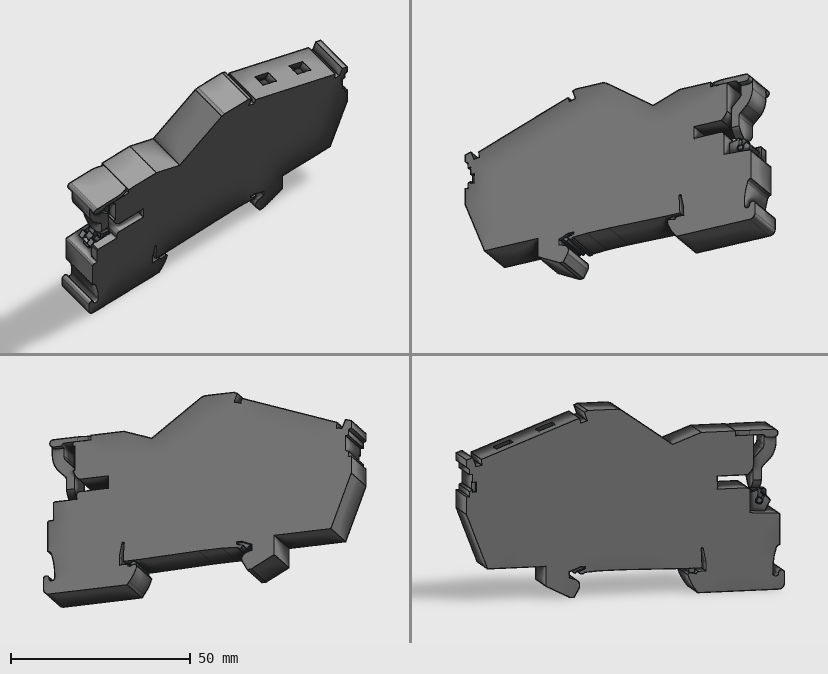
import cadquery as cq

WIDTH = 12.0
LENGTH = 91.14
HEIGHT = 52.83

REAR_BASE_Z = 9.34
RAIL_SEAT_Z = 7.42
RAIL_EDGE_Z = 7.0
DECK_Z = 45.22
SHELF_FRONT_Z = 21.5
SHELF_REAR_Z = 21.95
FINGER_SLOT_BOTTOM_Z = 29.02
FINGER_SLOT_TOP_Z = 32.67
VALLEY_Z = 42.2

HEAD_FRONT_Y = 8.83
HINGE_WALL_Y = 9.85
FINGER_SLOT_BACK_Y = 19.22
SHELF_FRONT_Y = 1.3
SHELF_EDGE_RADIUS = 0.5
VALLEY_Y = 32.08
PEAK_FRONT_Y = 47.5
PEAK_REAR_Y = 56.4
HOOK_BACK_Y = 68.32
HOOK_THROAT_Y = 61.7
HOOK_THROAT_TOP_Z = 7.5

SLOPE_FRONT = (58.83, 50.75)
SLOPE_REAR = (86.9, 40.36)
SLOPE_RISE = (SLOPE_FRONT[1] - SLOPE_REAR[1]) / (SLOPE_REAR[0] - SLOPE_FRONT[0])

OPENING_WIDTH = 3.74
OPENING_LENGTH = 4.68
OPENING_DEPTH = 2.5
OPENING_TAPER = 1.0
OPENING_REAR_YS = (69.4, 81.5)

REAR_NOTCH_FLOOR_Y = 89.42
SIDE_POCKET_LENGTH = 1.1
SIDE_POCKET_BOTTOM_Z = 31.2
SIDE_POCKET_TOP_Z = 34.0
SIDE_POCKET_DEPTH = 1.0

GUARD_WIDTH = 2.52
GUARD_FRONT_Y = 2.95
GUARD_TOP_Z = 26.9
GUARD_CHAMFER = 0.3

HEAD_RECESS_LEFT_X = 3.5
HEAD_RECESS_DEPTH = 0.5
HEAD_RECESS_BEVEL = 0.5
HEAD_RECESS_BOTTOM_Z = 35.2
HEAD_RECESS_TOP_Z = 42.65

LID_REAR_Y = 14.04
LID_BOTTOM_Z = 43.85
LID_NOSE_Z = 43.06
LID_NOSE_RADIUS = (DECK_Z - LID_NOSE_Z) / 2
LID_MID_Z = LID_NOSE_Z + LID_NOSE_RADIUS
LID_CORNER_SIDE = 1.26
LID_CORNER_LENGTH = 4.0
LEVER_FRONT_Y = 1.89
STEM_WIDTH = 8.0
STEM_FRONT_Y = 6.08
STEM_REAR_Y = 8.5
STEM_TAPER_Z = 30.77
STEM_END_Z = 28.1
TONGUE_WIDTH = 2.06
NECK_FRONT_Y = 5.3
NECK_FRONT_Z = 27.35

PIN_Y = 6.38
PIN_Z = 24.73
PIN_RADIUS = 0.75
PIN_HOLE_RADIUS = 1.05
HUB_RADIUS = 2.0
BRACKET_WIDTH = 5.26
BRACKET_TIP_Y = 3.2
BRACKET_FOOT_Y = 4.83
BRACKET_TOP_Z = 27.74
TOE_Y = 4.4
TOE_Z = 22.75
TOE_RADIUS = 0.77

ROD_Y = 26.36
ROD_Z = 6.2
ROD_RADIUS = 0.86
FOOT_PART_WIDTH = 10.0
CLIP_EXIT = (59.1, HOOK_THROAT_TOP_Z)


def box(x_min, x_max, y_min, y_max, z_min, z_max):
    size = (x_max - x_min, y_max - y_min, z_max - z_min)
    return cq.Workplane("XY").box(*size, centered=False).translate((x_min, y_min, z_min))


def plate(outline, width):
    """Extrude a closed Y-Z outline to the given width, centred on X = 0."""
    return outline.close().extrude(width).translate((-width / 2, 0, 0))


def cross_rod(y, z, radius, width):
    return cq.Workplane("YZ").center(y, z).circle(radius).extrude(width).translate((-width / 2, 0, 0))


def slope_z(y):
    """Height of the sloped connector face at a place along Y."""
    return SLOPE_REAR[1] + (SLOPE_REAR[0] - y) * SLOPE_RISE


def shelf_z(y):
    """Height of the hinge shelf, which falls gently from the hinge wall to its rounded front edge."""
    flat_front_y = SHELF_FRONT_Y + SHELF_EDGE_RADIUS
    return SHELF_FRONT_Z + (SHELF_REAR_Z - SHELF_FRONT_Z) * (y - flat_front_y) / (HINGE_WALL_Y - flat_front_y)


def housing_outline():
    outline = cq.Workplane("YZ").moveTo(LENGTH, 40.36)
    outline = (
        outline.lineTo(89.42, 40.94)
        .lineTo(88.36, 38.4)
        .lineTo(86.75, 38.7)
        .lineTo(*SLOPE_REAR)
        .lineTo(*SLOPE_FRONT)
        .lineTo(58.36, 49.37)
        .lineTo(56.52, 49.96)
        .lineTo(57.38, 52.39)
        .lineTo(PEAK_REAR_Y, HEIGHT)
    )
    outline = (
        outline.lineTo(PEAK_FRONT_Y + 0.4, HEIGHT)
        .lineTo(PEAK_FRONT_Y - 0.6, HEIGHT - 0.25)
        .lineTo(VALLEY_Y, VALLEY_Z)
        .lineTo(23.85, DECK_Z)
        .lineTo(LID_REAR_Y, DECK_Z)
        .lineTo(LID_REAR_Y, LID_BOTTOM_Z)
        .lineTo(HEAD_FRONT_Y, LID_BOTTOM_Z)
    )
    outline = (
        outline.lineTo(HEAD_FRONT_Y, 35.14)
        .threePointArc((9.55, 33.75), (10.63, FINGER_SLOT_TOP_Z))
        .lineTo(FINGER_SLOT_BACK_Y, FINGER_SLOT_TOP_Z)
        .lineTo(FINGER_SLOT_BACK_Y, FINGER_SLOT_BOTTOM_Z)
        .lineTo(10.75, FINGER_SLOT_BOTTOM_Z)
        .threePointArc((10.11, 28.76), (HINGE_WALL_Y, 28.12))
        .lineTo(HINGE_WALL_Y, SHELF_REAR_Z)
    )
    outline = (
        outline.lineTo(SHELF_FRONT_Y + SHELF_EDGE_RADIUS, SHELF_FRONT_Z)
        .radiusArc((SHELF_FRONT_Y, SHELF_FRONT_Z - SHELF_EDGE_RADIUS), -SHELF_EDGE_RADIUS)
        .lineTo(SHELF_FRONT_Y, 12.6)
        .threePointArc((2.0, 12.3), (2.4, 11.6))
        .threePointArc((3.05, 8.9), (3.34, 5.0))
        .lineTo(3.34, 4.6)
        .threePointArc((2.5, 3.8), (1.69, 4.5))
        .threePointArc((0.85, 5.45), (0, 4.7))
        .lineTo(0, 1.6)
        .threePointArc((0.5, 0.5), (1.69, 0))
    )
    outline = (
        outline.lineTo(24.83, 0)
        .lineTo(25.4, 0.83)
        .threePointArc((26.75, 2.9), (27.69, 5.22))
        .lineTo(27.26, 5.81)
        .lineTo(25.4, 5.4)
        .lineTo(24.7, 6.05)
        .lineTo(22.47, 6.05)
        .lineTo(22.47, 8.48)
        .lineTo(23.26, 12.3)
        .threePointArc((23.55, 12.62), (23.9, 12.3))
        .lineTo(23.65, RAIL_EDGE_Z)
    )
    outline = (
        outline.lineTo(28.36, RAIL_EDGE_Z)
        .lineTo(46.0, RAIL_SEAT_Z)
        .lineTo(52.87, RAIL_SEAT_Z)
        .lineTo(57.3, 7.15)
        .lineTo(57.7, 6.8)
        .lineTo(58.5, 6.8)
        .lineTo(*CLIP_EXIT)
        .lineTo(HOOK_THROAT_Y, HOOK_THROAT_TOP_Z)
        .lineTo(HOOK_THROAT_Y, 5.85)
        .lineTo(59.6, 5.1)
        .threePointArc((58.75, 3.9), (58.95, 2.6))
        .lineTo(60.3, 0.24)
        .lineTo(61.5, 0.24)
        .lineTo(HOOK_BACK_Y, 3.69)
        .lineTo(HOOK_BACK_Y, REAR_BASE_Z)
    )
    return (
        outline.lineTo(85.1, REAR_BASE_Z)
        .lineTo(LENGTH, 24.95)
        .lineTo(LENGTH, 29.93)
        .lineTo(90.3, 29.93)
        .lineTo(90.3, 31.42)
        .lineTo(REAR_NOTCH_FLOOR_Y, 31.85)
        .lineTo(REAR_NOTCH_FLOOR_Y, 36.2)
        .lineTo(90.3, 36.2)
        .lineTo(90.3, 37.69)
        .lineTo(LENGTH, 38.28)
    )


def test_opening(rear_y):
    """Rectangular opening whose rear wall slopes inwards and whose floor follows the slope."""
    front_y = rear_y - OPENING_LENGTH
    floor_rear_y = rear_y - OPENING_TAPER
    outline = (
        cq.Workplane("YZ")
        .moveTo(rear_y, slope_z(rear_y))
        .lineTo(floor_rear_y, slope_z(floor_rear_y) - OPENING_DEPTH)
        .lineTo(front_y, slope_z(front_y) - OPENING_DEPTH)
        .lineTo(front_y, slope_z(front_y))
    )
    return plate(outline, OPENING_WIDTH)


def head_recess():
    """Shallow recess in the head front, open to the right side, with a bevelled lower edge."""
    back_y = HEAD_FRONT_Y + HEAD_RECESS_DEPTH
    outline = (
        cq.Workplane("YZ", origin=(HEAD_RECESS_LEFT_X, 0, 0))
        .moveTo(HEAD_FRONT_Y, HEAD_RECESS_BOTTOM_Z)
        .lineTo(back_y, HEAD_RECESS_BOTTOM_Z + HEAD_RECESS_BEVEL)
        .lineTo(back_y, HEAD_RECESS_TOP_Z)
        .lineTo(HEAD_FRONT_Y, HEAD_RECESS_TOP_Z)
    )
    return outline.close().extrude(WIDTH / 2 - HEAD_RECESS_LEFT_X)


def make_housing(rod):
    body = plate(housing_outline(), WIDTH)
    guard = box(WIDTH / 2 - GUARD_WIDTH, WIDTH / 2, GUARD_FRONT_Y, HINGE_WALL_Y, SHELF_FRONT_Z, GUARD_TOP_Z)
    guard = guard.faces("<Y").edges(">Z").chamfer(GUARD_CHAMFER)
    body = body.union(guard)
    for rear_y in OPENING_REAR_YS:
        body = body.cut(test_opening(rear_y))
    side_pocket = box(
        -WIDTH / 2,
        -WIDTH / 2 + SIDE_POCKET_DEPTH,
        REAR_NOTCH_FLOOR_Y - SIDE_POCKET_LENGTH,
        REAR_NOTCH_FLOOR_Y,
        SIDE_POCKET_BOTTOM_Z,
        SIDE_POCKET_TOP_Z,
    )
    body = body.cut(head_recess())
    return body.cut(side_pocket).cut(rail_clip_shape(WIDTH)).cut(rod)


def lever_lid():
    outline = (
        cq.Workplane("YZ")
        .moveTo(LID_REAR_Y, DECK_Z)
        .lineTo(LEVER_FRONT_Y + LID_NOSE_RADIUS, DECK_Z)
        .radiusArc((LEVER_FRONT_Y, LID_MID_Z), -LID_NOSE_RADIUS)
        .radiusArc((LEVER_FRONT_Y + LID_NOSE_RADIUS, LID_NOSE_Z), -LID_NOSE_RADIUS)
        .lineTo(5.42, LID_NOSE_Z)
        .threePointArc((5.75, 43.6), (6.4, LID_BOTTOM_Z))
        .lineTo(LID_REAR_Y, LID_BOTTOM_Z)
    )
    lid = plate(outline, WIDTH)
    edge_x = WIDTH / 2
    corner = (
        cq.Workplane("XY", origin=(0, 0, LID_BOTTOM_Z))
        .moveTo(edge_x, LID_REAR_Y - LID_CORNER_LENGTH)
        .threePointArc(
            (edge_x - 0.2, LID_REAR_Y - 2.3),
            (edge_x - 0.6, LID_REAR_Y - 0.9),
        )
        .threePointArc((edge_x - 0.85, LID_REAR_Y - 0.3), (edge_x - LID_CORNER_SIDE, LID_REAR_Y))
        .lineTo(edge_x, LID_REAR_Y)
        .close()
        .extrude(DECK_Z - LID_BOTTOM_Z)
    )
    return lid.cut(corner).cut(corner.mirror("YZ"))


def lever_stem():
    outline = (
        cq.Workplane("YZ")
        .moveTo(LEVER_FRONT_Y, LID_MID_Z)
        .lineTo(LEVER_FRONT_Y, 41.5)
        .threePointArc((2.32, 38.95), (3.55, 36.8))
        .lineTo(5.4, 34.95)
        .threePointArc((5.9, 34.43), (STEM_FRONT_Y, 33.8))
        .lineTo(STEM_FRONT_Y, STEM_END_Z)
        .lineTo(STEM_REAR_Y, STEM_END_Z)
        .lineTo(STEM_REAR_Y, 36.8)
        .lineTo(5.9, 39.5)
        .threePointArc((5.5, 40.1), (5.42, 40.8))
        .lineTo(5.42, LID_MID_Z)
    )
    stem = plate(outline, STEM_WIDTH)
    edge_x = STEM_WIDTH / 2
    corner = (
        cq.Workplane("XZ", origin=(0, STEM_FRONT_Y, 0))
        .moveTo(edge_x, STEM_TAPER_Z)
        .threePointArc((edge_x - 1.25, STEM_TAPER_Z - 1.57), (TONGUE_WIDTH / 2, STEM_END_Z))
        .lineTo(edge_x, STEM_END_Z)
        .close()
        .extrude(STEM_FRONT_Y - STEM_REAR_Y)
    )
    return stem.cut(corner).cut(corner.mirror("YZ"))


def lever_tongue():
    """Narrow neck under the stem, ending in a round hub on the pin."""
    outline = (
        cq.Workplane("YZ")
        .moveTo(STEM_REAR_Y, STEM_END_Z)
        .lineTo(STEM_FRONT_Y, STEM_END_Z)
        .lineTo(NECK_FRONT_Y, NECK_FRONT_Z)
        .lineTo(PIN_Y, PIN_Z)
        .lineTo(STEM_REAR_Y, BRACKET_TOP_Z)
    )
    return plate(outline, TONGUE_WIDTH).union(cross_rod(PIN_Y, PIN_Z, HUB_RADIUS, TONGUE_WIDTH))


def make_lever(pin):
    return lever_lid().union(lever_stem()).union(lever_tongue()).cut(pin)


def make_bracket():
    outline = (
        cq.Workplane("YZ")
        .moveTo(HINGE_WALL_Y, SHELF_REAR_Z)
        .lineTo(HINGE_WALL_Y, 26.8)
        .threePointArc((8.4, 27.15), (6.9, BRACKET_TOP_Z))
        .lineTo(5.86, BRACKET_TOP_Z)
        .lineTo(BRACKET_TIP_Y, PIN_Z)
        .lineTo(BRACKET_FOOT_Y, shelf_z(BRACKET_FOOT_Y))
    )
    toe = cross_rod(TOE_Y, TOE_Z, TOE_RADIUS, TONGUE_WIDTH)
    block = plate(outline, BRACKET_WIDTH).union(toe)
    half_slot = TONGUE_WIDTH / 2
    slot = box(-half_slot, half_slot, BRACKET_TIP_Y, STEM_REAR_Y, PIN_Z, STEM_END_Z)
    slot = slot.union(cross_rod(PIN_Y, PIN_Z, HUB_RADIUS, TONGUE_WIDTH))
    mouth = (
        cq.Workplane("YZ")
        .moveTo(PIN_Y, PIN_Z)
        .lineTo(6.9, 25.45)
        .lineTo(6.65, STEM_END_Z)
        .lineTo(4.6, STEM_END_Z)
        .lineTo(4.6, 26.1)
        .lineTo(5.45, 25.25)
    )
    pin_hole = cross_rod(PIN_Y, PIN_Z, PIN_HOLE_RADIUS, BRACKET_WIDTH)
    return block.cut(slot).cut(plate(mouth, BRACKET_WIDTH)).cut(pin_hole)


def rail_clip_shape(width):
    """Bent strip lying above the throat of the fixed hook."""
    outline = (
        cq.Workplane("YZ")
        .moveTo(HOOK_THROAT_Y, HOOK_THROAT_TOP_Z)
        .lineTo(58.66, 8.75)
        .lineTo(57.1, 8.75)
        .lineTo(57.1, 8.3)
        .lineTo(57.75, 7.88)
        .lineTo(*CLIP_EXIT)
        .lineTo(59.8, 6.8)
        .lineTo(60.6, HOOK_THROAT_TOP_Z)
    )
    return plate(outline, width)


hinge_pin = cross_rod(PIN_Y, PIN_Z, PIN_RADIUS, BRACKET_WIDTH)
foot_rod = cross_rod(ROD_Y, ROD_Z, ROD_RADIUS, FOOT_PART_WIDTH)
rail_clip = rail_clip_shape(FOOT_PART_WIDTH)
housing = make_housing(foot_rod)
lever = make_lever(hinge_pin)
bracket = make_bracket()

result = cq.Compound.makeCompound(
    [
        housing.val(),
        lever.val(),
        bracket.val(),
        hinge_pin.val(),
        rail_clip.val(),
        foot_rod.val(),
    ]
)